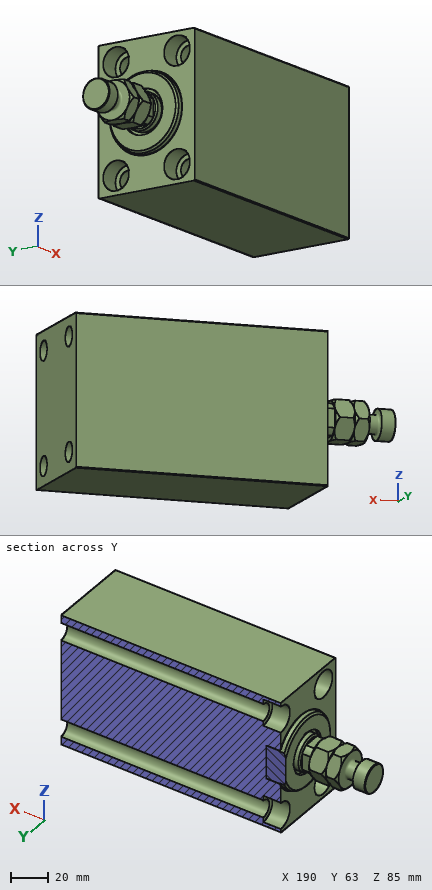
import cadquery as cq
import math


total_length = 190.0
housing_width = 63.0
housing_height = 85.0
front_reach = 47.0
housing_length = total_length - front_reach
edge_chamfer = 0.5

bolt_spacing_y = 39.9
bolt_spacing_z = 63.0
bolt_hole_dia = 11.0
counterbore_dia = 17.0
counterbore_depth = 11.4

gland_dia = 45.2
gland_projection = 3.5
gland_chamfer = 1.1
gland_seat_depth = 9.5
seat_chamfer = 0.8
wiper_recess_dia = 25.8
wiper_recess_depth = 1.9

rod_dia = 22.0
rod_chamfer = 1.0
rod_shoulder_reach = 6.0
rod_end_dia = 20.3
rod_flat_width = 17.5
rod_square_length = 5.9

head_dia = 17.5
head_length = 8.0
head_chamfer = 0.4
neck_dia = 10.5
neck_fillet = 1.1
hex_across_flats = 22.0
hex_chamfer_angle = 45.0
front_hex_length = 8.4
rear_hex_length = 11.0

coupling_tip = -front_reach
rod_shoulder = -rod_shoulder_reach
rod_end = rod_shoulder - rod_square_length
hex_joint = rod_end - rear_hex_length
front_hex_face = hex_joint - front_hex_length
head_rear_face = coupling_tip + head_length


def cylinder(diameter, start, end):
    """Solid cylinder on the X axis between two stations."""
    return cq.Workplane("YZ").workplane(offset=start).circle(diameter / 2).extrude(end - start)


def make_housing():
    """Block with four counterbored through holes and a chamfered seat for the gland."""
    block = (
        cq.Workplane("YZ")
        .rect(housing_width, housing_height)
        .extrude(housing_length)
        .edges("|X")
        .chamfer(edge_chamfer)
    )
    block = (
        block.faces("<X")
        .workplane(origin=(0, 0, 0))
        .rect(bolt_spacing_y, bolt_spacing_z, forConstruction=True)
        .vertices()
        .cboreHole(bolt_hole_dia, counterbore_dia, counterbore_depth)
    )
    block = block.cut(cylinder(gland_dia, 0, gland_seat_depth))
    seat_rim = cq.selectors.RadiusNthSelector(-1)
    return block.faces("<X").edges("%CIRCLE").edges(seat_rim).chamfer(seat_chamfer)


def make_gland():
    """Ring around the rod, with an annular wiper recess in its front face."""
    ring = cylinder(gland_dia, -gland_projection, gland_seat_depth)
    ring = ring.faces("<X").edges().chamfer(gland_chamfer)
    ring = ring.cut(cylinder(rod_dia, -gland_projection, gland_seat_depth))
    wiper_recess = cylinder(wiper_recess_dia, -gland_projection, wiper_recess_depth - gland_projection)
    return ring.cut(wiper_recess)


def make_rod():
    """Round rod whose front end carries four wrench flats."""
    shaft = cylinder(rod_dia, rod_shoulder, gland_seat_depth)
    shaft = shaft.faces("<X").edges().chamfer(rod_chamfer)
    square = (
        cq.Workplane("YZ")
        .workplane(offset=rod_end)
        .rect(rod_flat_width, rod_flat_width)
        .extrude(rod_square_length)
    )
    wrench_end = cylinder(rod_end_dia, rod_end, rod_shoulder).intersect(square)
    return shaft.union(wrench_end)


def make_hex(start, length):
    """Hexagon with corners on the Y axis and conical chamfers at both ends."""
    corner_radius = hex_across_flats / math.sqrt(3)
    face_radius = hex_across_flats / 2
    chamfer_length = (corner_radius - face_radius) * math.tan(math.radians(hex_chamfer_angle))
    prism = (
        cq.Workplane("YZ")
        .workplane(offset=start)
        .polygon(6, 2 * corner_radius)
        .extrude(length)
    )
    chamfer_envelope = (
        cq.Workplane("XY")
        .moveTo(start, 0)
        .lineTo(start, face_radius)
        .lineTo(start + chamfer_length, corner_radius)
        .lineTo(start + length - chamfer_length, corner_radius)
        .lineTo(start + length, face_radius)
        .lineTo(start + length, 0)
        .close()
        .revolve(360, (0, 0, 0), (1, 0, 0))
    )
    return prism.intersect(chamfer_envelope)


def make_head_and_neck():
    """Round head with a chamfered tip, and a neck with a fillet at each end."""
    head_radius = head_dia / 2
    neck_radius = neck_dia / 2
    root_radius = neck_radius + neck_fillet
    return (
        cq.Workplane("XY")
        .moveTo(coupling_tip, 0)
        .lineTo(coupling_tip, head_radius - head_chamfer)
        .lineTo(coupling_tip + head_chamfer, head_radius)
        .lineTo(head_rear_face, head_radius)
        .lineTo(head_rear_face, root_radius)
        .radiusArc((head_rear_face + neck_fillet, neck_radius), -neck_fillet)
        .lineTo(front_hex_face - neck_fillet, neck_radius)
        .radiusArc((front_hex_face, root_radius), -neck_fillet)
        .lineTo(front_hex_face, 0)
        .close()
        .revolve(360, (0, 0, 0), (1, 0, 0))
    )


def make_coupling():
    """Head, neck and two hexagons in one piece, butting against the rod end."""
    front_hex = make_hex(front_hex_face, front_hex_length)
    rear_hex = make_hex(hex_joint, rear_hex_length)
    return make_head_and_neck().union(front_hex).union(rear_hex)


housing = make_housing()
gland = make_gland()
rod = make_rod()
coupling = make_coupling()

bodies = [housing, gland, rod, coupling]
result = cq.Compound.makeCompound([body.solids().val() for body in bodies])